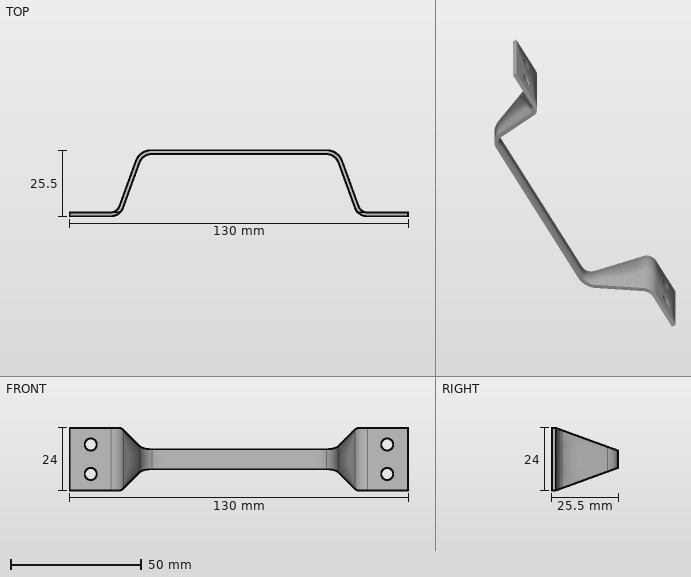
import cadquery as cq
import math

length = 130.0
depth = 25.5
height = 24.0

thickness = 1.5
leg_angle = math.radians(70)
inner_radius_foot = 3.5
inner_radius_grip = 5.0
foot_length = 15.7

grip_back_height = 6.6

hole_diameter = 4.5
hole_end_distance = 8.0
hole_spacing = 11.3

outer_radius_foot = inner_radius_foot + thickness
outer_radius_grip = inner_radius_grip + thickness
foot_bend_x = -length / 2 + foot_length
foot_bend_y = outer_radius_foot
grip_bend_y = depth - outer_radius_grip
bend_radius_sum = outer_radius_foot + inner_radius_grip
leg_rise = grip_bend_y - foot_bend_y + bend_radius_sum * math.cos(leg_angle)
leg_run = leg_rise / math.tan(leg_angle)
grip_bend_x = foot_bend_x + bend_radius_sum * math.sin(leg_angle) + leg_run


def foot_bend_point(radius, angle):
    """Point on the foot bend, turned by angle from the foot."""
    return (foot_bend_x + radius * math.sin(angle), foot_bend_y - radius * math.cos(angle))


def grip_bend_point(radius, angle):
    """Point on the grip bend, turned by angle from the grip."""
    return (grip_bend_x - radius * math.sin(angle), grip_bend_y + radius * math.cos(angle))


def make_half_strip():
    """Left half of the bent strip at full height."""
    half_angle = leg_angle / 2
    return (
        cq.Workplane("XY")
        .moveTo(-length / 2, 0)
        .lineTo(*foot_bend_point(outer_radius_foot, 0))
        .threePointArc(
            foot_bend_point(outer_radius_foot, half_angle),
            foot_bend_point(outer_radius_foot, leg_angle),
        )
        .lineTo(*grip_bend_point(inner_radius_grip, leg_angle))
        .threePointArc(
            grip_bend_point(inner_radius_grip, half_angle),
            grip_bend_point(inner_radius_grip, 0),
        )
        .lineTo(0, depth - thickness)
        .lineTo(0, depth)
        .lineTo(*grip_bend_point(outer_radius_grip, 0))
        .threePointArc(
            grip_bend_point(outer_radius_grip, half_angle),
            grip_bend_point(outer_radius_grip, leg_angle),
        )
        .lineTo(*foot_bend_point(inner_radius_foot, leg_angle))
        .threePointArc(
            foot_bend_point(inner_radius_foot, half_angle),
            foot_bend_point(inner_radius_foot, 0),
        )
        .lineTo(-length / 2, thickness)
        .close()
        .extrude(height / 2, both=True)
    )


def make_taper_envelope():
    """Prism along X whose height narrows from the feet to the grip."""
    return (
        cq.Workplane("YZ")
        .polyline([
            (0, -height / 2),
            (thickness, -height / 2),
            (depth, -grip_back_height / 2),
            (depth, grip_back_height / 2),
            (thickness, height / 2),
            (0, height / 2),
        ])
        .close()
        .extrude(length / 2, both=True)
    )


def make_hole_pins():
    """Cylinders that cut the screw holes through both feet."""
    return (
        cq.Workplane("XZ")
        .rarray(length - 2 * hole_end_distance, hole_spacing, 2, 2)
        .circle(hole_diameter / 2)
        .extrude(-thickness)
    )


half_strip = make_half_strip()
strip = half_strip.union(half_strip.mirror("YZ"))
result = strip.intersect(make_taper_envelope()).cut(make_hole_pins())